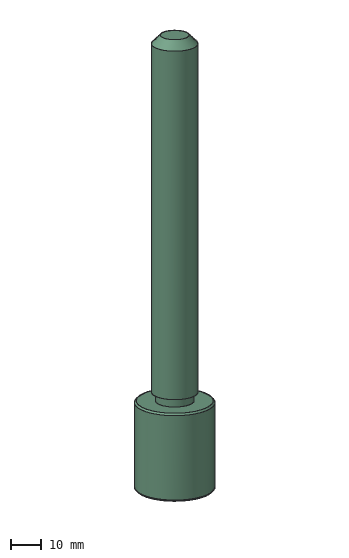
import cadquery as cq

total_length = 155.0
head_diameter = 26.0
head_length = 30.0
head_chamfer = 0.6

neck_diameter = 12.5
neck_length = 3.0

shank_diameter = 15.0
tip_diameter = 9.3
tip_length = 3.0


def make_head():
    """Cylindrical head with both rims chamfered, standing on Z = 0."""
    head = cq.Workplane("XY").circle(head_diameter / 2).extrude(head_length)
    return head.faces("<Z or >Z").edges().chamfer(head_chamfer)


def make_stem():
    """Revolved neck, shank and conical tip above the head."""
    shank_bottom = head_length + neck_length
    tip_bottom = total_length - tip_length
    profile = (
        cq.Workplane("XZ")
        .moveTo(0, head_length)
        .lineTo(neck_diameter / 2, head_length)
        .lineTo(neck_diameter / 2, shank_bottom)
        .lineTo(shank_diameter / 2, shank_bottom)
        .lineTo(shank_diameter / 2, tip_bottom)
        .lineTo(tip_diameter / 2, total_length)
        .lineTo(0, total_length)
        .close()
    )
    return profile.revolve(360, (0, 0, 0), (0, 1, 0))


result = make_head().union(make_stem())